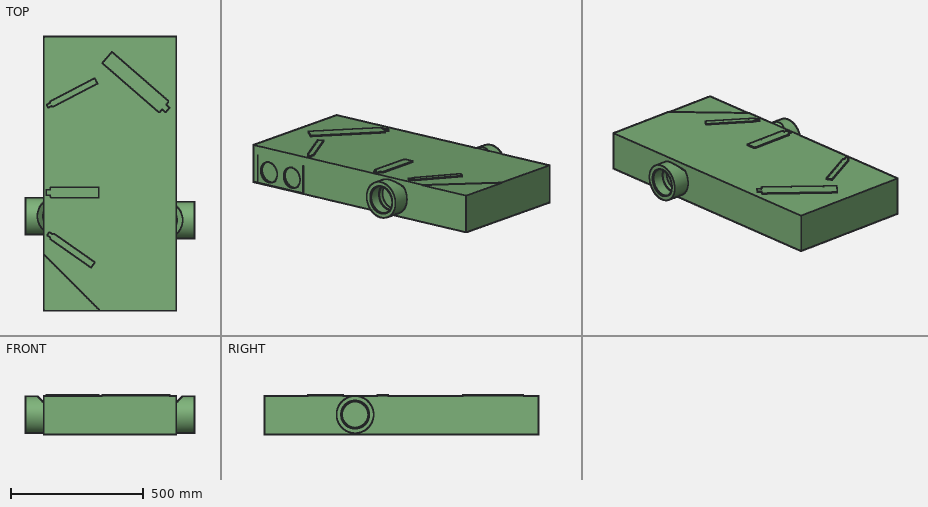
import cadquery as cq
BODY_X = 500.0
BODY_Y = 1035.0
TOTAL_Z = 151.1
LABEL_THICKNESS = 4.1
BODY_Z = TOTAL_Z - LABEL_THICKNESS

SOCKET_LENGTH = 69.0
SOCKET_DIAMETER = 140.0
SOCKET_Z = 76.0
SOCKET_MOUTH_DIAMETER = 107.0
SOCKET_MOUTH_DEPTH = 5.0
SOCKET_BORE_DIAMETER = 103.0
SOCKET_INNER_DIAMETER = 98.0
SOCKET_BORE_DEPTH = 50.0
SOCKET_RELIEF = 24.0
LEFT_SOCKET_Y = -160.0
RIGHT_SOCKET_Y = -175.0

REBATE_WIDTH = 3.0
REBATE_DEPTH = 0.5

PANEL_Y_MIN = 273.0
PANEL_Y_MAX = 496.0
PANEL_HEIGHT = 110.0
FRONT_SLIT_WIDTH = 2.5
BACK_SLIT_WIDTH = 1.0
SLIT_DEPTH = 1.0
KNOCKOUT_DIAMETER = 80.0
KNOCKOUT_DEPTH = 9.0
KNOCKOUT_Z = 53.0
KNOCKOUT_SPACING = 111.0
KNOCKOUT_MID_Y = 385.0

LABEL_CORNER = 3.0
LABELS = [
    (-240.0, -70.5, 0.0, 197.0, 40.0, 20.0, 15.0),
    (-236.0, 254.4, 27.5, 207.0, 23.0, 13.0, 15.0),
    (-233.0, -226.0, -35.0, 206.0, 25.0, 15.0, 15.0),
    (217.0, 240.0, 139.0, 302.0, 56.0, 23.0, 17.0),
]

CORNER_LEG = 213.5
CORNER_STEP = 1.9


def make_body():
    return cq.Workplane("XY").box(BODY_X, BODY_Y, BODY_Z, centered=(True, True, False))


def make_socket():
    """Socket pointing along -X with its root in the plane x = 0."""
    radius = SOCKET_DIAMETER / 2
    pipe = cq.Workplane("YZ").circle(radius).extrude(-SOCKET_LENGTH)
    relief = (
        cq.Workplane("XZ")
        .moveTo(0, radius)
        .lineTo(-SOCKET_RELIEF, radius)
        .lineTo(0, radius - SOCKET_RELIEF)
        .close()
        .extrude(radius, both=True)
    )
    bore = (
        cq.Workplane("YZ", origin=(-SOCKET_LENGTH, 0, 0))
        .circle(SOCKET_BORE_DIAMETER / 2)
        .extrude(SOCKET_BORE_DEPTH)
    )
    mouth = (
        cq.Workplane("YZ", origin=(-SOCKET_LENGTH, 0, 0))
        .circle(SOCKET_MOUTH_DIAMETER / 2)
        .extrude(SOCKET_MOUTH_DEPTH)
    )
    inner = cq.Workplane("YZ").circle(SOCKET_INNER_DIAMETER / 2).extrude(-SOCKET_LENGTH)
    return pipe.cut(relief).cut(mouth).cut(bore).cut(inner)


def make_label(tip_x, tip_y, angle, length, width, tip_width, tip_length):
    half = width / 2
    half_tip = tip_width / 2
    upper = [
        (0, half_tip),
        (tip_length, half_tip),
        (tip_length, half - LABEL_CORNER),
        (tip_length + LABEL_CORNER, half),
        (length, half),
    ]
    lower = [(x, -y) for x, y in reversed(upper)]
    return (
        cq.Workplane("XY")
        .polyline(upper + lower)
        .close()
        .extrude(LABEL_THICKNESS)
        .rotate((0, 0, 0), (0, 0, 1), angle)
        .translate((tip_x, tip_y, BODY_Z))
    )


def left_side_cutter(y_min, y_max, height, depth):
    """Block that removes a strip of the -X side, rising from the underside."""
    return (
        cq.Workplane("XY")
        .box(depth, y_max - y_min, height, centered=False)
        .translate((-BODY_X / 2, y_min, 0))
    )


def cut_rebates(body):
    end = BODY_Y / 2
    strips = [
        (-end, -end + REBATE_WIDTH, BODY_Z),
        (end - REBATE_WIDTH, end, BODY_Z),
        (PANEL_Y_MIN, end, REBATE_WIDTH),
    ]
    for y_min, y_max, height in strips:
        body = body.cut(left_side_cutter(y_min, y_max, height, REBATE_DEPTH))
    return body


def cut_panel_slits(body):
    slits = [
        (PANEL_Y_MIN, PANEL_Y_MIN + FRONT_SLIT_WIDTH),
        (PANEL_Y_MAX - BACK_SLIT_WIDTH, PANEL_Y_MAX),
    ]
    for y_min, y_max in slits:
        body = body.cut(left_side_cutter(y_min, y_max, PANEL_HEIGHT, SLIT_DEPTH))
    return body


def cut_knockouts(body):
    for side in (-1, 1):
        y = KNOCKOUT_MID_Y + side * KNOCKOUT_SPACING / 2
        hole = (
            cq.Workplane("YZ", origin=(-BODY_X / 2, y, KNOCKOUT_Z))
            .circle(KNOCKOUT_DIAMETER / 2)
            .extrude(KNOCKOUT_DEPTH)
        )
        body = body.cut(hole)
    return body


def cut_corner_step(body):
    corner_x = -BODY_X / 2
    corner_y = -BODY_Y / 2
    step = (
        cq.Workplane("XY", origin=(0, 0, BODY_Z))
        .moveTo(corner_x, corner_y)
        .lineTo(corner_x + CORNER_LEG, corner_y)
        .lineTo(corner_x, corner_y + CORNER_LEG)
        .close()
        .extrude(-CORNER_STEP)
    )
    return body.cut(step)


result = cut_corner_step(make_body())
result = cut_rebates(result)
result = cut_panel_slits(result)
result = cut_knockouts(result)
left_socket = make_socket().translate((-BODY_X / 2, LEFT_SOCKET_Y, SOCKET_Z))
right_socket = make_socket().mirror("YZ").translate((BODY_X / 2, RIGHT_SOCKET_Y, SOCKET_Z))
result = result.union(left_socket).union(right_socket)
for label in LABELS:
    result = result.union(make_label(*label))